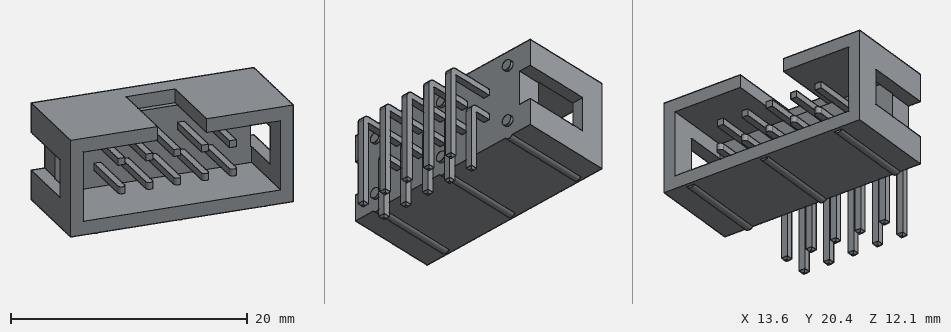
import cadquery as cq
import math


body_depth = 8.84
body_width = 20.35
body_height = 8.88
mid_height = body_height / 2
base_thickness = 2.35
side_wall = 1.16
top_wall = 1.26

key_width = 4.48
key_start = 1.81

window_height = 3.46
window_end = 6.45
notch_depth = 1.25

round_diameter = 1.0
round_pitch = 7.68
stud_height = 0.29
stud_root = base_thickness / 2
stud_rise = 2.87
rib_length = 8.47
rib_drop = 0.2

pin_count = 5
pin_pitch = 2.55
pin_size = 0.63
pin_reach = 4.72
pin_drop = 3.22
tip_height = 0.2
tip_inset = 0.18
upper_pin_end = 7.75
lower_pin_end = 8.02


def block(x_min, x_max, y_size, z_min, z_max, y_middle=0):
    """Box between two X and two Z limits, centred on y_middle."""
    size_x = x_max - x_min
    size_z = z_max - z_min
    centre = (x_min + size_x / 2, y_middle, z_min + size_z / 2)
    return cq.Workplane("XY").box(size_x, y_size, size_z).translate(centre)


def make_housing():
    housing = block(0, body_depth, body_width, 0, body_height)
    cavity = block(
        base_thickness, body_depth, body_width - 2 * side_wall, top_wall, body_height - top_wall
    )
    key_slot = block(key_start, body_depth, key_width, body_height - top_wall, body_height)
    housing = housing.cut(cavity).cut(key_slot)

    window_bottom = mid_height - window_height / 2
    window_top = mid_height + window_height / 2
    for side in (-1, 1):
        window_y = side * (body_width - side_wall) / 2
        notch_y = side * (body_width - notch_depth) / 2
        window = block(0, window_end, side_wall, window_bottom, window_top, window_y)
        notch = block(0, base_thickness, notch_depth, window_bottom, window_top, notch_y)
        housing = housing.cut(window).cut(notch)
    return housing


def rod(x_min, x_max, y, z):
    """Round bar parallel to X."""
    return (
        cq.Workplane("YZ", origin=(x_min, y, z))
        .circle(round_diameter / 2)
        .extrude(x_max - x_min)
    )


def make_pin(y, z, outer_x, end_x):
    """Bent square pin: z is the axis height, outer_x the far side of its downward leg.

    end_x is the contact end inside the housing.
    """
    half = pin_size / 2
    leg_inner_x = outer_x + pin_size
    bend_z = z - half
    arc_offset = pin_size * math.sqrt(0.5)
    leg_end = tip_height - pin_drop

    shank = (
        cq.Workplane("XZ", origin=(0, y + half, 0))
        .moveTo(outer_x, leg_end)
        .lineTo(outer_x, bend_z)
        .threePointArc((leg_inner_x - arc_offset, bend_z + arc_offset), (leg_inner_x, z + half))
        .lineTo(end_x, z + half)
        .lineTo(end_x, bend_z)
        .lineTo(leg_inner_x, bend_z)
        .lineTo(leg_inner_x, leg_end)
        .close()
        .extrude(pin_size)
    )

    tip_size = pin_size - 2 * tip_inset
    solder_tip = (
        cq.Workplane("XY", origin=(outer_x + half, y, leg_end))
        .rect(pin_size, pin_size)
        .workplane(offset=-tip_height)
        .rect(tip_size, tip_size)
        .loft(combine=True)
    )

    return shank.union(solder_tip)


def rounded_envelope(y, end_x):
    """Upright prism one pin wide whose +X end is a full half-round."""
    half = pin_size / 2
    return (
        cq.Workplane("XY", origin=(0, y, -pin_drop))
        .moveTo(-pin_reach, -half)
        .lineTo(end_x - half, -half)
        .threePointArc((end_x, 0), (end_x - half, half))
        .lineTo(-pin_reach, half)
        .close()
        .extrude(pin_drop + body_height)
    )


result = make_housing()

for column in (-1, 0, 1):
    y = column * round_pitch
    for level in (-1, 1):
        result = result.union(rod(-stud_height, stud_root, y, mid_height + level * stud_rise))
    result = result.union(rod(0, rib_length, y, round_diameter / 2 - rib_drop))

for column in range(pin_count):
    y = (column - (pin_count - 1) / 2) * pin_pitch
    upper_pin = make_pin(y, mid_height + pin_pitch / 2, -pin_reach, upper_pin_end)
    lower_pin = make_pin(y, mid_height - pin_pitch / 2, -pin_reach + pin_pitch, lower_pin_end)
    lower_pin = lower_pin.intersect(rounded_envelope(y, lower_pin_end))
    result = result.union(upper_pin).union(lower_pin)